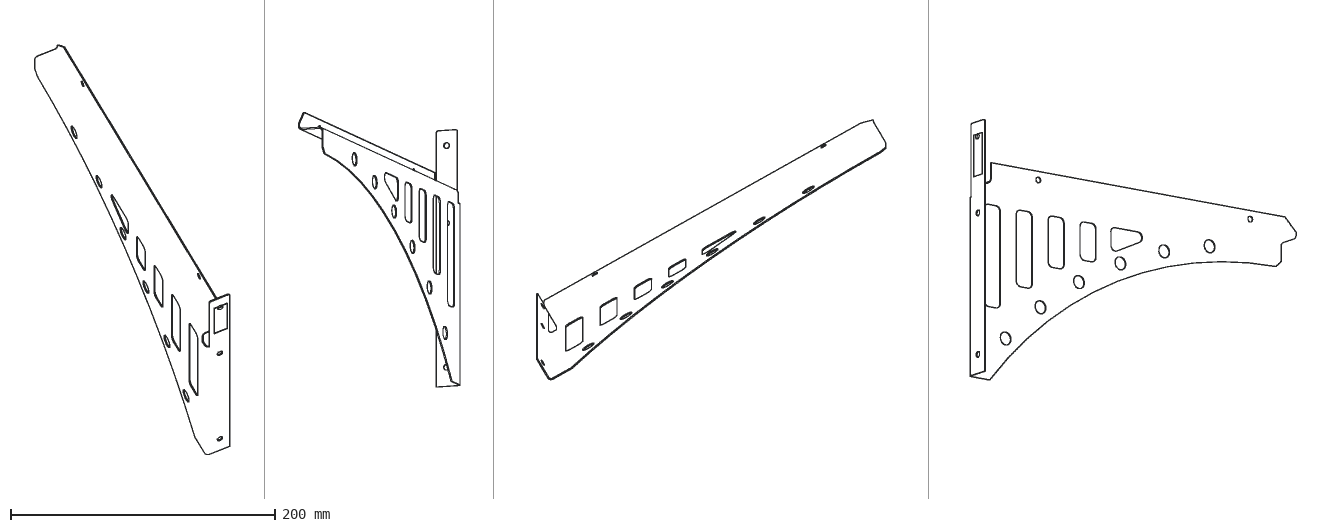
import cadquery as cq
import math

sheet = 1.0
inner_bend = 2.0
outer_bend = inner_bend + sheet

length = 295.0
depth = 20.0
height = 197.0
pad_thickness = 0.5
flange_x = length - pad_thickness

shelf_z = 150.0
upstand_top = 164.0
upstand_chamfer = 10.5
rail_end_x = 288.0
relief_z = 139.5

nose_x = 4.7
nose_z = 130.0
nose_side_z = 134.5
foot_x = 275.0
arc_mid = (135.7, 103.8)

screw_diameter = 4.5
rail_screw_x = (43.5, 243.5)
rail_screw_z = 157.2
flange_screw_y = 11.8
flange_screw_z = (14.8, 125.5, 185.3)
web_hole_diameter = 10.0
web_hole_count = 6
first_web_hole = (67.5, 136.3)
last_web_hole = (260.2, 34.8)
window_top = 137.2
window_radius = 4.0
slot_width = 15.0
slot_pitch = 30.0
first_slot_x = 182.3
slot_lengths = (30.0, 40.0, 60.0, 80.0)
triangle_left_x = 116.8
triangle_right_x = 160.8
triangle_bottom_z = 116.5

tab_corner_radius = 1.5
pad_y = (6.8, 17.7)
pad_z = (154.5, 187.0)


def box(x_range, y_range, z_range):
    """Axis-aligned block between pairs of limits."""
    limits = (x_range, y_range, z_range)
    sizes = [high - low for low, high in limits]
    corner = tuple(low for low, high in limits)
    return cq.Workplane("XY").box(*sizes, centered=False).translate(corner)


def through_y(sketch):
    """Extrude an XZ sketch through the whole depth of the bracket."""
    return sketch.extrude(-depth)


def circle_center(a, b, c):
    """Center of the circle through three points."""
    bx, bz = b[0] - a[0], b[1] - a[1]
    cx, cz = c[0] - a[0], c[1] - a[1]
    b_square = bx**2 + bz**2
    c_square = cx**2 + cz**2
    double_cross = 2 * (bx * cz - bz * cx)
    x = a[0] + (cz * b_square - bz * c_square) / double_cross
    z = a[1] + (bx * c_square - cx * b_square) / double_cross
    return x, z


def make_rail():
    """Z-shaped sheet: web down at the front, upstand at the rear."""
    diagonal = math.sqrt(0.5)
    web_bend = (outer_bend, shelf_z - outer_bend)
    rear_bend = (depth - outer_bend, shelf_z + inner_bend)

    def on_web_bend(radius):
        return web_bend[0] - radius * diagonal, web_bend[1] + radius * diagonal

    def on_rear_bend(radius):
        return rear_bend[0] + radius * diagonal, rear_bend[1] - radius * diagonal

    section = (
        cq.Workplane("YZ")
        .moveTo(0, 0)
        .lineTo(0, web_bend[1])
        .threePointArc(on_web_bend(outer_bend), (web_bend[0], shelf_z))
        .lineTo(rear_bend[0], shelf_z)
        .threePointArc(on_rear_bend(inner_bend), (depth - sheet, rear_bend[1]))
        .lineTo(depth - sheet, upstand_top)
        .lineTo(depth, upstand_top)
        .lineTo(depth, rear_bend[1])
        .threePointArc(on_rear_bend(outer_bend), (rear_bend[0], shelf_z - sheet))
        .lineTo(web_bend[0], shelf_z - sheet)
        .threePointArc(on_web_bend(inner_bend), (sheet, web_bend[1]))
        .lineTo(sheet, 0)
        .close()
    )
    outline = (
        cq.Workplane("XZ")
        .moveTo(nose_x, nose_z)
        .threePointArc(arc_mid, (foot_x, 0))
        .lineTo(flange_x - outer_bend, 0)
        .lineTo(flange_x - outer_bend, relief_z)
        .lineTo(rail_end_x, relief_z)
        .lineTo(rail_end_x, upstand_top)
        .lineTo(upstand_chamfer, upstand_top)
        .lineTo(0, upstand_top - upstand_chamfer)
        .lineTo(0, nose_side_z)
        .close()
    )
    return section.extrude(length).intersect(through_y(outline))


def make_flange():
    """Mounting flange bent back from the web, with a tab rising above the shelf."""
    flange = (
        box((flange_x - 2 * outer_bend, flange_x), (0, depth), (0, height))
        .edges("|Z and >X and <Y")
        .fillet(outer_bend)
    )
    inside = (
        box((0, flange_x - sheet), (sheet, 2 * depth), (0, height))
        .edges("|Z and >X and <Y")
        .fillet(inner_bend)
    )
    above_web = box((0, length), (0, outer_bend), (relief_z, height))
    return (
        flange.cut(inside)
        .cut(above_web)
        .edges("|X and >Z")
        .fillet(tab_corner_radius)
    )


def make_web_holes():
    """Round holes evenly spaced along an arc concentric with the lower edge."""
    center_x, center_z = circle_center((nose_x, nose_z), arc_mid, (foot_x, 0))
    start_x, start_z = first_web_hole[0] - center_x, first_web_hole[1] - center_z
    end_x, end_z = last_web_hole[0] - center_x, last_web_hole[1] - center_z
    radius = math.hypot(start_x, start_z)
    start_angle = math.atan2(start_z, start_x)
    step = (math.atan2(end_z, end_x) - start_angle) / (web_hole_count - 1)
    angles = [start_angle + i * step for i in range(web_hole_count)]
    points = [(center_x + radius * math.cos(a), center_z + radius * math.sin(a)) for a in angles]
    return through_y(cq.Workplane("XZ").pushPoints(points).circle(web_hole_diameter / 2))


def make_windows():
    """Rounded triangle followed by slots that lengthen toward the flange."""
    triangle = cq.Workplane("XZ").polyline([
        (triangle_left_x, window_top),
        (triangle_right_x, window_top),
        (triangle_right_x, triangle_bottom_z),
    ]).close()
    windows = through_y(triangle).edges("|Y").fillet(window_radius)
    for i, slot_length in enumerate(slot_lengths):
        x = first_slot_x + i * slot_pitch
        slot = box(
            (x - slot_width / 2, x + slot_width / 2),
            (0, outer_bend),
            (window_top - slot_length, window_top),
        )
        windows = windows.union(slot.edges("|Y").fillet(window_radius))
    return windows


def make_screw_holes():
    """Screw holes through the upstand and through the mounting flange."""
    rail_points = [(x, rail_screw_z) for x in rail_screw_x]
    flange_points = [(flange_screw_y, z) for z in flange_screw_z]
    rail_holes = through_y(cq.Workplane("XZ").pushPoints(rail_points).circle(screw_diameter / 2))
    flange_holes = (
        cq.Workplane("YZ", origin=(flange_x - outer_bend, 0, 0))
        .pushPoints(flange_points)
        .circle(screw_diameter / 2)
        .extrude(outer_bend + pad_thickness)
    )
    return rail_holes.union(flange_holes)


pad = box((flange_x - sheet / 2, length), pad_y, pad_z)

bracket = make_rail().union(make_flange()).union(pad)
result = bracket.cut(make_web_holes()).cut(make_windows()).cut(make_screw_holes())